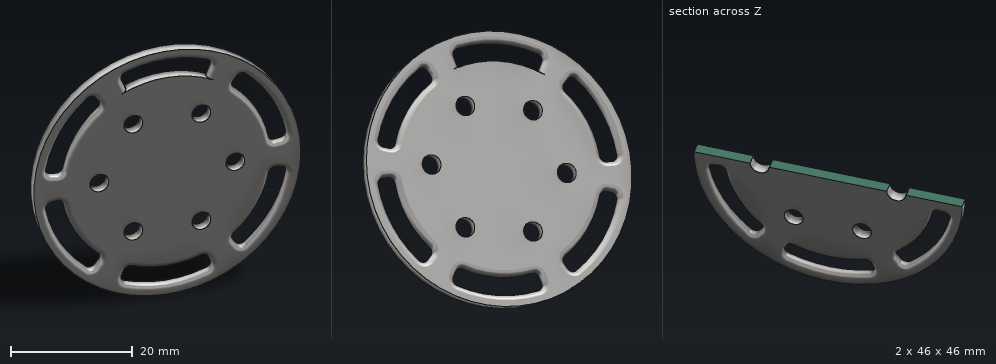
import cadquery as cq
import math

disc_diameter = 46.0
thickness = 2.0

hole_count = 6
hole_diameter = 3.2
hole_circle_radius = 11.7

slot_count = 6
slot_inner_radius = 18.0
slot_outer_radius = 21.0
slot_span = 45.0
slot_corner_radius = 1.0
open_slot_angle = 90.0

rim_flat = 0.002
rim_round = (thickness - rim_flat) / 2

tolerance = 0.01
slot_pitch = 360.0 / slot_count
slot_middle_radius = (slot_inner_radius + slot_outer_radius) / 2


def polar(radius, angle):
    """Point at an angle in degrees, counted from +Y towards +Z."""
    return (radius * math.cos(math.radians(angle)), radius * math.sin(math.radians(angle)))


def axis_distance(point):
    """Distance of a point from the disc axis."""
    return math.hypot(point.y, point.z)


def back_plane():
    """Sketch plane on the -X face; extrusions run through the disc towards +X."""
    return cq.Workplane("YZ", origin=(-thickness / 2, 0, 0))


def disc():
    return back_plane().circle(disc_diameter / 2).extrude(thickness)


def round_holes():
    centres = back_plane().polarArray(hole_circle_radius, 0, 360, hole_count)
    return centres.circle(hole_diameter / 2).extrude(thickness)


def slot(middle_angle, round_inner_corners):
    """Body of one slot; the outer corners are always rounded."""
    start = middle_angle - slot_span / 2
    end = middle_angle + slot_span / 2
    body = (
        back_plane()
        .moveTo(*polar(slot_inner_radius, start))
        .lineTo(*polar(slot_outer_radius, start))
        .threePointArc(polar(slot_outer_radius, middle_angle), polar(slot_outer_radius, end))
        .lineTo(*polar(slot_inner_radius, end))
        .threePointArc(polar(slot_inner_radius, middle_angle), polar(slot_inner_radius, start))
        .close()
        .extrude(thickness)
    )
    corners = body.edges("|X")
    if not round_inner_corners:
        corners = corners.filter(lambda edge: axis_distance(edge.Center()) > slot_middle_radius)
    return corners.fillet(slot_corner_radius)


def is_rounded_rim(edge):
    """True for slot edges on the flat faces, except the inner arc of the open slot."""
    middle = edge.positionAt(0.5)
    radius = axis_distance(middle)
    on_slot = slot_inner_radius - tolerance < radius < slot_outer_radius + tolerance
    plain_y, plain_z = polar(slot_inner_radius, open_slot_angle)
    on_plain_arc = math.hypot(middle.y - plain_y, middle.z - plain_z) < tolerance
    return on_slot and not on_plain_arc


result = disc().cut(round_holes())

for index in range(slot_count):
    is_open_slot = index == 0
    result = result.cut(slot(open_slot_angle + index * slot_pitch, not is_open_slot))

result = result.faces("|X").edges().filter(is_rounded_rim).fillet(rim_round)